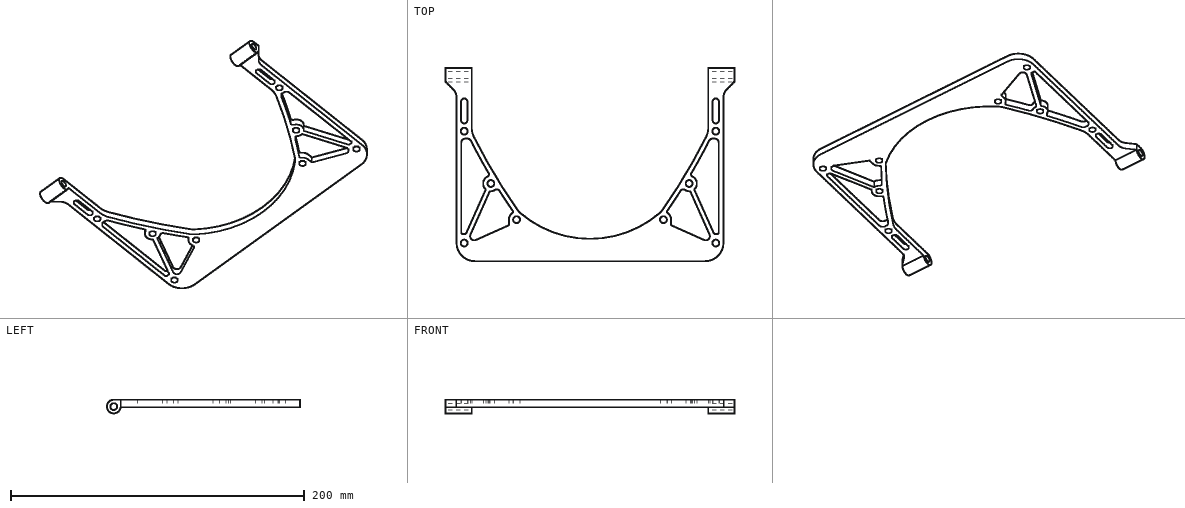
import cadquery as cq
import math

total_width = 196.8
total_length = 131.7
barrel_diameter = 9.5
plate_thickness = 5.3
hole_diameter = 4.5

tab_outer_x = total_width / 2
arm_outer_x = 91.0
arm_inner_x = 80.5
tab_front_y = 122.2
barrel_y = total_length - barrel_diameter / 2
barrel_z = barrel_diameter / 2
plate_bottom_z = barrel_diameter - plate_thickness
tab_corner_y = tab_front_y - (tab_outer_x - arm_outer_x)
shoulder_radius = 7.5
rear_corner_radius = 12.5

opening_bottom_y = 15.4
opening_radius = 72.8
knee_x = 48.5
knee_radius = 11.8
arm_root_y = 87.8
arm_root_radius = 15.0
side_arc_radius = 393.7
opening_center_y = opening_bottom_y + opening_radius
knee_y = opening_center_y - math.sqrt(opening_radius**2 - knee_x**2)

rear_hole = (-85.6, 12.4)
arm_hole = (-85.6, 88.5)
upper_boss = (-67.5, 53.0)
lower_boss = (-50.0, 28.3)
boss_radius = 5.3
slot_width = 4.1
slot_length = 17.0
slot_center_y = 102.4

side_wall = 3.3
rib_width = 3.1
outer_window_bottom_y = 18.7
outer_window_top_y = 83.5
window_top_radius = 2.8
outer_window_bottom_radius = 0.8
boss_notch_radius = 1.2
inner_window_top_radius = 2.0
inner_window_tip_radius = 2.8
inner_window_floor_drop = 1.4
inner_window_right_x = lower_boss[0] - boss_radius


def side_arc_center():
    """Center of the shallow arc from the left arm root to the left knee."""
    chord_x = arm_inner_x - knee_x
    chord_y = knee_y - arm_root_y
    chord = math.hypot(chord_x, chord_y)
    reach = math.sqrt(side_arc_radius**2 - (chord / 2) ** 2)
    center_x = -(arm_inner_x + knee_x) / 2 - reach * chord_y / chord
    center_y = (arm_root_y + knee_y) / 2 + reach * chord_x / chord
    return center_x, center_y


def prism(sketch):
    return sketch.extrude(plate_thickness)


def plane():
    return cq.Workplane("XY", origin=(0, 0, plate_bottom_z))


def disc(center, radius):
    return prism(plane().center(*center).circle(radius))


def round_edge(body, point, radius):
    """Round the vertical edge nearest to an XY point."""
    middle_z = plate_bottom_z + plate_thickness / 2
    return body.edges("|Z").edges(cq.NearestToPointSelector((*point, middle_z))).fillet(radius)


def half_plate():
    body = prism(
        plane()
        .moveTo(0, 0)
        .lineTo(-arm_outer_x, 0)
        .lineTo(-arm_outer_x, tab_corner_y)
        .lineTo(-tab_outer_x, tab_front_y)
        .lineTo(-tab_outer_x, barrel_y)
        .lineTo(-arm_inner_x, barrel_y)
        .lineTo(-arm_inner_x, arm_root_y)
        .radiusArc((-knee_x, knee_y), -side_arc_radius)
        .radiusArc((0, opening_bottom_y), -opening_radius)
        .close()
    )
    body = round_edge(body, (-arm_outer_x, 0), rear_corner_radius)
    body = round_edge(body, (-arm_outer_x, tab_corner_y), shoulder_radius)
    body = round_edge(body, (-arm_inner_x, arm_root_y), arm_root_radius)
    return round_edge(body, (-knee_x, knee_y), knee_radius)


def hinge_barrel():
    tab_width = tab_outer_x - arm_inner_x
    axis_plane = cq.Workplane("YZ", origin=(-tab_outer_x, barrel_y, barrel_z))
    barrel = axis_plane.circle(barrel_diameter / 2).extrude(tab_width)
    bore = axis_plane.circle(hole_diameter / 2).extrude(tab_width)
    return barrel, bore


rib_dx = upper_boss[0] - rear_hole[0]
rib_dy = upper_boss[1] - rear_hole[1]
rib_length = math.hypot(rib_dx, rib_dy)
rib_half_x = rib_width / 2 * rib_length / rib_dy
floor_slope = (lower_boss[1] - rear_hole[1]) / (lower_boss[0] - rear_hole[0])


def rib_x(y):
    """X of the diagonal rib's center line at a given Y."""
    return rear_hole[0] + (y - rear_hole[1]) * rib_dx / rib_dy


def floor_y(x):
    """Y of the sloping lower edge of the inner window."""
    return rear_hole[1] + (x - rear_hole[0]) * floor_slope - inner_window_floor_drop


def trim_window(window):
    """Leave the rim along the opening and the two bosses uncut."""
    rim = disc(side_arc_center(), side_arc_radius + rib_width)
    window = window.cut(rim)
    for boss in (upper_boss, lower_boss):
        window = window.cut(disc(boss, boss_radius))
    return window


def rim_x(y):
    """X of the window side of the opening rim at a given Y."""
    center_x, center_y = side_arc_center()
    return center_x - math.sqrt((side_arc_radius + rib_width) ** 2 - (y - center_y) ** 2)


def rim_boss_point(boss, upper):
    """Upper or lower crossing of a boss with the window side of the rim."""
    center_x, center_y = side_arc_center()
    to_x = boss[0] - center_x
    to_y = boss[1] - center_y
    distance = math.hypot(to_x, to_y)
    rim_radius = side_arc_radius + rib_width
    along = (distance**2 + boss_radius**2 - rim_radius**2) / (2 * distance)
    across = math.sqrt(boss_radius**2 - along**2)
    if not upper:
        across = -across
    x = boss[0] - (along * to_x - across * to_y) / distance
    y = boss[1] - (along * to_y + across * to_x) / distance
    return x, y


def outer_window():
    left_x = -arm_outer_x + side_wall
    bottom_right_x = rib_x(outer_window_bottom_y) - rib_half_x
    window = prism(
        plane().polyline([
            (left_x, outer_window_bottom_y),
            (bottom_right_x, outer_window_bottom_y),
            (rib_x(upper_boss[1]) - rib_half_x, upper_boss[1]),
            (upper_boss[0], outer_window_top_y),
            (left_x, outer_window_top_y),
        ]).close()
    )
    window = trim_window(window)
    for x in (left_x, rim_x(outer_window_top_y)):
        window = round_edge(window, (x, outer_window_top_y), window_top_radius)
    for x in (left_x, bottom_right_x):
        window = round_edge(window, (x, outer_window_bottom_y), outer_window_bottom_radius)
    return round_edge(window, rim_boss_point(upper_boss, upper=True), boss_notch_radius)


def inner_window():
    rib_slope = rib_dy / rib_dx
    tip_x = rear_hole[0] + (rib_half_x * rib_slope - inner_window_floor_drop) / (rib_slope - floor_slope)
    tip = (tip_x, floor_y(tip_x))
    window = prism(
        plane().polyline([
            tip,
            (inner_window_right_x, floor_y(inner_window_right_x)),
            (inner_window_right_x, lower_boss[1]),
            lower_boss,
            (lower_boss[0], upper_boss[1]),
            (rib_x(upper_boss[1]) + rib_half_x, upper_boss[1]),
        ]).close()
    )
    window = trim_window(window)
    window = round_edge(window, tip, inner_window_tip_radius)
    window = round_edge(window, rim_boss_point(upper_boss, upper=False), inner_window_top_radius)
    return round_edge(window, rim_boss_point(lower_boss, upper=True), boss_notch_radius)


left = half_plate()
for window in (outer_window(), inner_window()):
    left = left.cut(window)
for hole in (rear_hole, arm_hole, upper_boss, lower_boss):
    left = left.cut(disc(hole, hole_diameter / 2))
slot_sketch = plane().center(arm_hole[0], slot_center_y).slot2D(slot_length, slot_width, 90)
left = left.cut(prism(slot_sketch))
barrel, bore = hinge_barrel()
left = left.union(barrel).cut(bore)

result = left.union(left.mirror("YZ"))